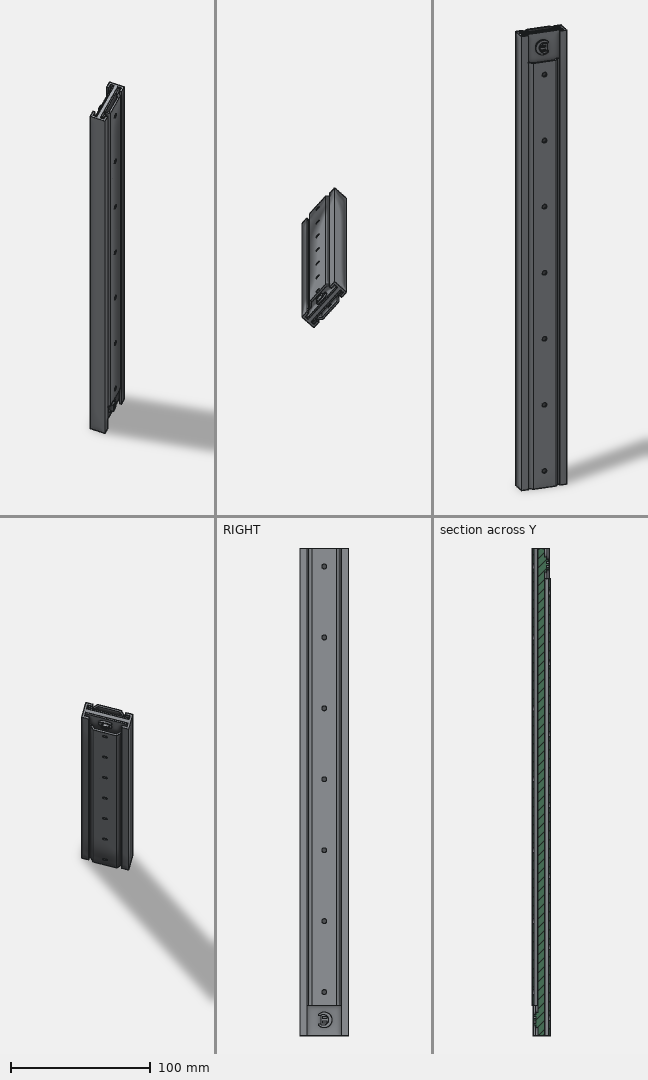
import cadquery as cq

length = 349.0
width = 35.0
overall_depth = 13.0

member_depth = 11.5
end_wall = 1.7
lip_thickness = 1.57
lip_edge_y = 12.2
web_thickness = 2.8
floor_thickness = 1.0
floor_setback = 0.5

rail_setback = 21.5
rail_length = length - rail_setback
rail_wall = 1.5
rail_face_y = 8.7
flange_start_y = 11.0
flange_inner_start_y = 10.5
face_inner_y = 8.0
flange_tip_y = 15.5
flange_outer_x = 4.0
flange_wall = 1.0
hole_diameter = 3.5
hole_count = 7
first_hole = 13.0
last_hole = 317.5

stop_from_end = 11.5
stop_base_radius = 5.5
stop_base_height = 1.5
stop_base_flat_y = -4.2
stop_notch_width = 6.3
stop_boss_radius = 4.0
stop_boss_y = -0.7
stop_boss_flat_y = -2.5
pocket_length = 3.5
pocket_height = 1.5
pocket_spacing = 3.0
pocket_y = 0.5

half_length = length / 2
floor_x = web_thickness / 2 + floor_thickness


def symmetric_plate(x_size, y_size, z_size):
    """Box centred in X and Y and standing on Z = 0."""
    return cq.Workplane("XY").box(x_size, y_size, z_size, centered=(True, True, False))


def flat_sided_disc(plane, radius, center_y, flat_y, height):
    """Disc on the given plane, cut away beyond a flat on the -Y side."""
    disc = plane.center(center_y, 0).circle(radius).extrude(height)
    beyond_flat = plane.center(flat_y - radius, 0).rect(2 * radius, 2 * radius).extrude(height)
    return disc.cut(beyond_flat)


def make_stop(side, z):
    """Stop on one side of the web, rising from the channel floor to the lip face."""
    boss_x = floor_x + stop_base_height
    boss_height = member_depth / 2 - boss_x
    base_plane = cq.Workplane("YZ", origin=(floor_x, 0, z))
    boss_plane = cq.Workplane("YZ", origin=(boss_x, 0, z))

    base = flat_sided_disc(base_plane, stop_base_radius, 0, stop_base_flat_y, stop_base_height)
    notch_length = stop_boss_flat_y - stop_base_flat_y
    notch = base_plane.center(stop_boss_flat_y - notch_length / 2, 0).rect(notch_length, stop_notch_width)
    base = base.cut(notch.extrude(stop_base_height))

    boss = flat_sided_disc(boss_plane, stop_boss_radius, stop_boss_y, stop_boss_flat_y, boss_height)
    for direction in (-1, 1):
        pocket = boss_plane.center(pocket_y, direction * pocket_spacing / 2)
        boss = boss.cut(pocket.rect(pocket_length, pocket_height).extrude(boss_height))

    stop = base.union(boss)
    return stop if side > 0 else stop.mirror("YZ")


def make_member():
    """Double channel with a stop at the top of the -X side and the bottom of the +X side."""
    body = symmetric_plate(member_depth, width, length)
    cavity_depth = (member_depth - web_thickness) / 2 - lip_thickness
    for side in (-1, 1):
        cavity_x = side * (web_thickness + cavity_depth) / 2
        cavity = symmetric_plate(cavity_depth, width - 2 * end_wall, length).translate((cavity_x, 0, 0))
        mouth = symmetric_plate(2 * lip_thickness, 2 * lip_edge_y, length)
        body = body.cut(cavity).cut(mouth.translate((side * member_depth / 2, 0, 0)))
    floor = symmetric_plate(2 * floor_x, width - 2 * end_wall, length - 2 * floor_setback)
    body = body.union(floor.translate((0, 0, floor_setback)))
    upper_stop = make_stop(-1, length - stop_from_end)
    lower_stop = make_stop(1, stop_from_end)
    return body.union(upper_stop).union(lower_stop)


def make_rail():
    """Rail of the -X side: flat face, sloped sides, and flanges behind the lips."""
    outer_x = overall_depth / 2
    inner_x = outer_x - rail_wall
    flange_inner_x = flange_outer_x - flange_wall
    upper_half = [
        (outer_x, rail_face_y),
        (flange_outer_x, flange_start_y),
        (flange_outer_x, flange_tip_y),
        (flange_inner_x, flange_tip_y),
        (flange_inner_x, flange_inner_start_y),
        (inner_x, face_inner_y),
    ]
    lower_half = [(x, -y) for x, y in reversed(upper_half)]
    outline = [(-x, y) for x, y in upper_half + lower_half]
    rail = cq.Workplane("XY").polyline(outline).close().extrude(rail_length)
    pitch = (last_hole - first_hole) / (hole_count - 1)
    for index in range(hole_count):
        hole = cq.Workplane("YZ").center(0, first_hole + index * pitch).circle(hole_diameter / 2)
        rail = rail.cut(hole.extrude(-outer_x))
    return rail


member = make_member()

rails = []
for turn in (0, 180):
    rails.append(make_rail().rotate((0, 0, half_length), (0, 1, half_length), turn))

result = cq.Compound.makeCompound([member.val()] + [rail.val() for rail in rails])